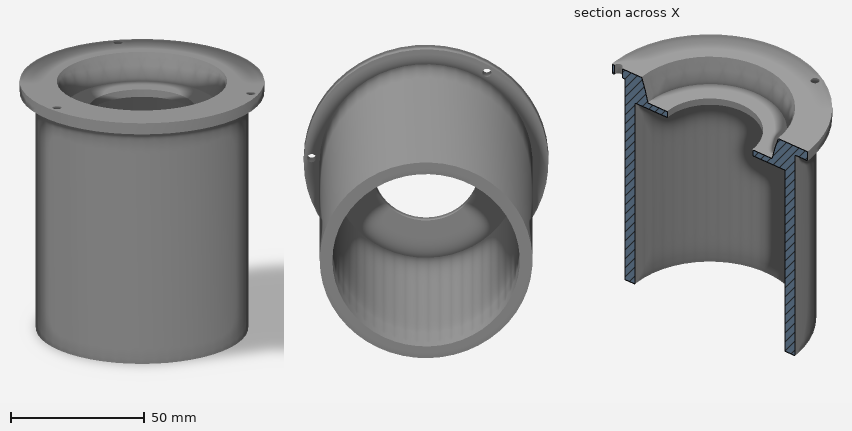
import cadquery as cq

height = 98.5
flange_diameter = 92.0
flange_thickness = 4.4
body_diameter = 80.0

recess_top_diameter = 64.0
recess_floor_diameter = 58.1
recess_depth = 10.6
bore_diameter = 40.0
web_thickness = 3.0
cavity_diameter = 70.4
cavity_height = height - recess_depth - web_thickness

hole_count = 3
hole_diameter = 3.3
hole_circle_diameter = 86.0
first_hole_angle = 30.0


def flanged_body():
    """Cylinder standing on Z = 0 with the flange at its top."""
    body = cq.Workplane("XY").circle(body_diameter / 2).extrude(height)
    flange = (
        cq.Workplane("XY", origin=(0, 0, height - flange_thickness))
        .circle(flange_diameter / 2)
        .extrude(flange_thickness)
    )
    return body.union(flange)


def tapered_recess():
    """Conical recess that narrows from the top face down to a flat floor."""
    return (
        cq.Workplane("XY", origin=(0, 0, height - recess_depth))
        .circle(recess_floor_diameter / 2)
        .workplane(offset=recess_depth)
        .circle(recess_top_diameter / 2)
        .loft(ruled=True)
    )


def bore():
    """Cylindrical bore through the web, joining the recess to the cavity."""
    return cq.Workplane("XY").circle(bore_diameter / 2).extrude(height)


def lower_cavity():
    """Wide cylindrical cavity, open at the bottom and closed above by the web."""
    return cq.Workplane("XY").circle(cavity_diameter / 2).extrude(cavity_height)


def mounting_holes():
    """Equally spaced holes that pass through the flange."""
    return (
        cq.Workplane("XY", origin=(0, 0, height - flange_thickness))
        .polarArray(hole_circle_diameter / 2, first_hole_angle, 360, hole_count)
        .circle(hole_diameter / 2)
        .extrude(flange_thickness)
    )


result = (
    flanged_body()
    .cut(tapered_recess())
    .cut(bore())
    .cut(lower_cavity())
    .cut(mounting_holes())
)